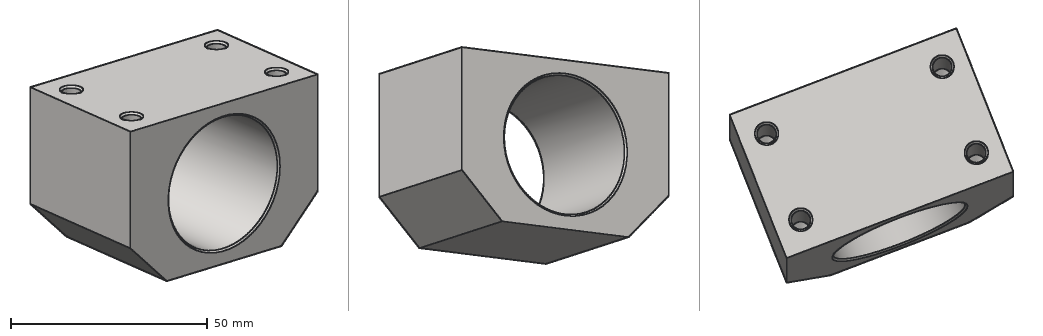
import cadquery as cq
import math

length = 40.0
width = 62.0
height = 44.0
corner_cut = 12.0

bore_diameter = 36.0
bore_chamfer = 0.5

hole_diameter = 4.9
hole_mouth_diameter = 6.0
hole_depth = 14.9
hole_spacing_x = 24.0
hole_spacing_y = 48.0
drill_tip_angle = 118.0


def make_block():
    """Centred block with both lower long edges cut at 45 degrees."""
    block = cq.Workplane("XY").box(length, width, height)
    return block.faces("<Z").edges("|X").chamfer(corner_cut)


def make_bore():
    """Bore cutter with a 45 degree chamfer at each end."""
    half_length = length / 2
    radius = bore_diameter / 2
    mouth_radius = radius + bore_chamfer
    return (
        cq.Workplane("XY")
        .moveTo(-half_length, 0)
        .lineTo(-half_length, mouth_radius)
        .lineTo(-half_length + bore_chamfer, radius)
        .lineTo(half_length - bore_chamfer, radius)
        .lineTo(half_length, mouth_radius)
        .lineTo(half_length, 0)
        .close()
        .revolve(360, (0, 0, 0), (1, 0, 0))
    )


def make_hole():
    """Drilled hole cutter with a countersunk mouth at Z = 0 and a conical tip."""
    radius = hole_diameter / 2
    mouth_radius = hole_mouth_diameter / 2
    countersink_depth = mouth_radius - radius
    tip_depth = radius / math.tan(math.radians(drill_tip_angle / 2))
    return (
        cq.Workplane("XZ")
        .lineTo(mouth_radius, 0)
        .lineTo(radius, -countersink_depth)
        .lineTo(radius, -hole_depth)
        .lineTo(0, -hole_depth - tip_depth)
        .close()
        .revolve(360, (0, 0, 0), (0, 1, 0))
    )


result = make_block().cut(make_bore())

hole = make_hole()
for side_x in (-1, 1):
    for side_y in (-1, 1):
        position = (side_x * hole_spacing_x / 2, side_y * hole_spacing_y / 2, height / 2)
        result = result.cut(hole.translate(position))